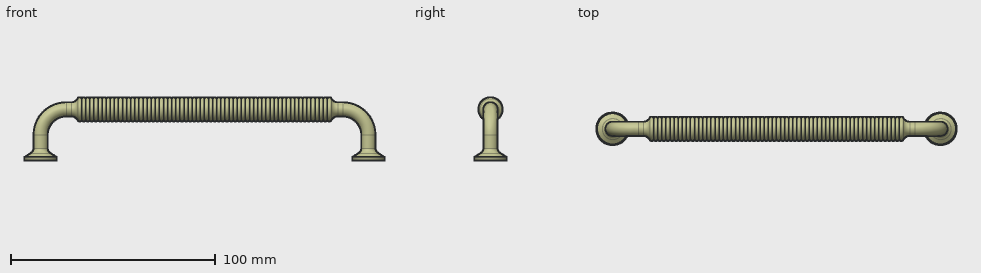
import cadquery as cq
import math

LENGTH = 176.0
HEIGHT = 31.0

TUBE_RADIUS = 3.5
BEND_RADIUS = 12.5

FOOT_DIAMETER = 16.0
FOOT_RIM_HEIGHT = 2.0
FOOT_RIM_ROUND = 0.44
FOOT_SHOULDER_RADIUS = 5.1
FOOT_SHOULDER_HEIGHT = 3.5
FOOT_TOP_HEIGHT = 6.0

RING_COUNT = 62
GRIP_RADIUS = 6.0
GRIP_LENGTH = 123.9
GROOVE_DEPTH = 0.7
FLARE_LENGTH = 3.0

foot_radius = FOOT_DIAMETER / 2
post_x = LENGTH / 2 - foot_radius
grip_z = HEIGHT - GRIP_RADIUS
bend_end_x = post_x - BEND_RADIUS
ring_pitch = GRIP_LENGTH / RING_COUNT
groove_radius = GRIP_RADIUS - GROOVE_DEPTH
grip_end_x = GRIP_LENGTH / 2


def cove_midpoint(start, end):
    """Middle of the concave arc in (radius, height) that leaves the tube tangentially at start."""
    rise = end[0] - start[0]
    run = end[1] - start[1]
    arc_radius = (rise**2 + run**2) / (2 * rise)
    half_sweep = math.atan2(rise, abs(run))
    mid_radius = start[0] + arc_radius * (1 - math.cos(half_sweep))
    mid_height = start[1] + math.copysign(arc_radius * math.sin(half_sweep), run)
    return mid_radius, mid_height


def make_foot():
    """Round flared foot around the Z axis, standing on Z = 0."""
    neck = (TUBE_RADIUS, FOOT_TOP_HEIGHT)
    shoulder = (FOOT_SHOULDER_RADIUS, FOOT_SHOULDER_HEIGHT)
    profile = (
        cq.Workplane("XZ")
        .lineTo(foot_radius, 0)
        .lineTo(foot_radius, FOOT_RIM_HEIGHT - FOOT_RIM_ROUND)
        .radiusArc((foot_radius - FOOT_RIM_ROUND, FOOT_RIM_HEIGHT), -FOOT_RIM_ROUND)
        .lineTo(*shoulder)
        .threePointArc(cove_midpoint(neck, shoulder), neck)
        .lineTo(0, FOOT_TOP_HEIGHT)
        .close()
    )
    return profile.revolve(360, (0, 0, 0), (0, 1, 0))


def make_bent_tube():
    """Left post rising from the foot and bending over to the grip axis."""
    bend_start_z = grip_z - BEND_RADIUS
    path = (
        cq.Workplane("XZ")
        .moveTo(-post_x, FOOT_TOP_HEIGHT)
        .lineTo(-post_x, bend_start_z)
        .radiusArc((-bend_end_x, grip_z), BEND_RADIUS)
    )
    section = cq.Workplane("XY", origin=(-post_x, 0, FOOT_TOP_HEIGHT)).circle(TUBE_RADIUS)
    return section.sweep(path)


def make_grip():
    """Straight bar of rounded rings, with a flared neck at each end."""
    flare_start_x = grip_end_x + FLARE_LENGTH
    neck = (TUBE_RADIUS, flare_start_x)
    flare_end = (groove_radius, grip_end_x)
    cove_radius, cove_x = cove_midpoint(neck, flare_end)

    profile = (
        cq.Workplane("XY")
        .moveTo(-bend_end_x, 0)
        .lineTo(-bend_end_x, TUBE_RADIUS)
        .lineTo(-flare_start_x, TUBE_RADIUS)
        .threePointArc((-cove_x, cove_radius), (-grip_end_x, groove_radius))
    )
    for ring in range(RING_COUNT):
        ring_start_x = -grip_end_x + ring * ring_pitch
        profile = profile.threePointArc(
            (ring_start_x + ring_pitch / 2, GRIP_RADIUS),
            (ring_start_x + ring_pitch, groove_radius),
        )
    profile = (
        profile.threePointArc((cove_x, cove_radius), (flare_start_x, TUBE_RADIUS))
        .lineTo(bend_end_x, TUBE_RADIUS)
        .lineTo(bend_end_x, 0)
        .close()
    )
    return profile.revolve(360, (0, 0, 0), (1, 0, 0)).translate((0, 0, grip_z))


left_end = make_foot().translate((-post_x, 0, 0)).union(make_bent_tube())
right_end = left_end.mirror("YZ")
result = make_grip().union(left_end).union(right_end)